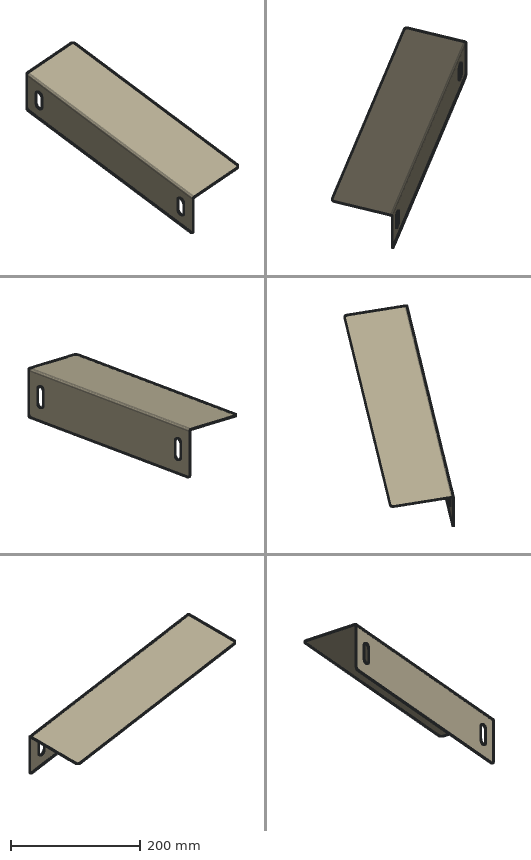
import cadquery as cq

length = 374.0
depth = 100.0
height = 80.0

thickness = 1.5
bend_outer_radius = 3.5
bend_inner_radius = bend_outer_radius - thickness

corner_radius = 5.0

slot_length = 35.0
slot_width = 13.0
slot_spacing = 318.5


def bent_sheet():
    """L-shaped sheet: front flange at y = 0, top flange at z = height, bent along X."""
    outer = cq.Workplane("XY").box(length, depth, height, centered=(True, False, False))
    outer = outer.edges("|X and <Y and >Z").fillet(bend_outer_radius)
    inner = (
        cq.Workplane("XY")
        .box(length, depth - thickness, height - thickness, centered=(True, False, False))
        .translate((0, thickness, 0))
        .edges("|X and <Y and >Z")
        .fillet(bend_inner_radius)
    )
    return outer.cut(inner)


def round_free_corners(sheet):
    """Round the lower corners of the front flange and rear corners of the top flange."""
    sheet = sheet.faces("<Z").edges("|Y").fillet(corner_radius)
    return sheet.faces(">Y").edges("|Z").fillet(corner_radius)


def mounting_slots():
    """Pair of upright obround cutters passing through the front flange."""
    return (
        cq.Workplane("XZ", origin=(0, thickness, height / 2))
        .rarray(slot_spacing, 3.7, 2, 1)
        .slot2D(slot_length, slot_width, 90)
        .extrude(thickness)
    )


result = round_free_corners(bent_sheet()).cut(mounting_slots())